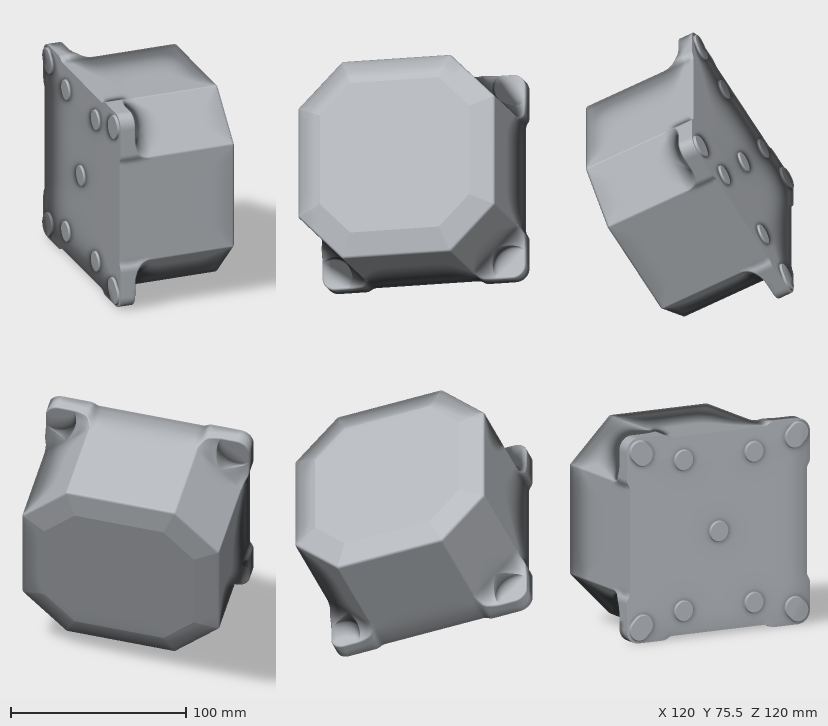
import cadquery as cq
import math


part_height = 75.5
foot_height = 1.5
body_side = 115.9
body_corner_cut = 26.0
crown_inset = 13.9
crown_angle = 15.0
body_edge_radius = 1.5

plate_side = 120.0
ear_thickness = 9.2
ear_corner_radius = 7.8
ear_start = 30.0
ear_full_width_start = 36.2
ear_root_radius = 10.1
ear_rim_radius = 1.0
clearance_radius = 12.0
clearance_floor_radius = 1.0

foot_diameter = 12.0
foot_offset_x = 23.0
foot_offset_z = 44.0
corner_foot_width = 12.8
corner_foot_length = 15.8
corner_foot_offset = 50.9
foot_edge_radius = 0.5

EAR_COUNT = 4
EAR_SPACING = 360 / EAR_COUNT
EAR_DIRECTION = 225
DIAGONAL = 45

half_plate = plate_side / 2
half_body = body_side / 2
half_flat = half_body - body_corner_cut
body_height = part_height - foot_height
crown_height = crown_inset * math.tan(math.radians(crown_angle))
crown_base = body_height - crown_height
corner_face_distance = (half_body + half_flat) / math.sqrt(2)
root_top = ear_thickness + ear_root_radius


def plane_facing_back(y=0.0):
    """Sketch plane with its normal along +Y; sketch right is -X and sketch up is +Z."""
    return cq.Workplane(cq.Plane((0, y, 0), xDir=(-1, 0, 0), normal=(0, 1, 0)))


def turned(shape, angle):
    """Rotate a shape about the Y axis."""
    return shape.rotate((0, 0, 0), (0, 1, 0), angle)


def swapped(point):
    """Mirror a sketch point in the diagonal of the ear."""
    return point[1], point[0]


def make_body():
    """Octagonal housing with a tapered crown and rounded outer edges."""
    octagon = plane_facing_back().rect(body_side, body_side).extrude(crown_base)
    walls = octagon.edges("|Y").chamfer(body_corner_cut)
    body = walls.faces(">Y").wires().toPending().workplane().extrude(crown_height, taper=90 - crown_angle)
    margin = 0.1
    rim = cq.selectors.BoxSelector(
        (-plate_side, crown_base - margin, -plate_side),
        (plate_side, crown_base + margin, plate_side),
        boundingbox=True,
    )
    return body.edges(rim).fillet(body_edge_radius).edges("|Y").fillet(body_edge_radius)


def ear_outline():
    """Ear outline: an S-bend out from each body side, joined by a rounded corner."""
    step = half_plate - half_body
    run = ear_full_width_start - ear_start
    bend_angle = 2 * math.atan(step / run)
    bend_radius = run / 2 / math.sin(bend_angle)
    along = bend_radius * math.sin(bend_angle / 2)
    across = bend_radius * (1 - math.cos(bend_angle / 2))

    bend_start = (ear_start, half_body)
    hollow = (ear_start + along, half_body + across)
    bend_middle = (ear_start + run / 2, half_body + step / 2)
    crest = (ear_full_width_start - along, half_plate - across)
    bend_end = (ear_full_width_start, half_plate)
    corner_start = (half_plate - ear_corner_radius, half_plate)
    corner_middle = half_plate - ear_corner_radius * (1 - math.sqrt(0.5))
    return (
        plane_facing_back()
        .moveTo(*bend_start)
        .threePointArc(hollow, bend_middle)
        .threePointArc(crest, bend_end)
        .lineTo(*corner_start)
        .threePointArc((corner_middle, corner_middle), swapped(corner_start))
        .lineTo(*swapped(bend_end))
        .threePointArc(swapped(crest), swapped(bend_middle))
        .threePointArc(swapped(hollow), swapped(bend_start))
        .lineTo(ear_start, ear_start)
        .close()
    )


def make_ear():
    """Ear at the -X +Z corner: flat top, rounded rim and concave root against the body."""
    root_sweep = (
        cq.Workplane("XY")
        .moveTo(corner_face_distance, root_top)
        .radiusArc((corner_face_distance + ear_root_radius, ear_thickness), -ear_root_radius)
        .lineTo(plate_side, ear_thickness)
        .lineTo(plate_side, root_top)
        .close()
        .extrude(half_plate, both=True)
    )
    ear = ear_outline().extrude(root_top).cut(turned(root_sweep, EAR_DIRECTION))
    return ear.edges("not (|Y or <Y or |(1,0,1))").fillet(ear_rim_radius)


def make_clearance():
    """Screw-head clearance with a rounded bottom edge, touching the cut corner face of the body."""
    cutter = (
        plane_facing_back(ear_thickness)
        .center(-corner_face_distance - clearance_radius, 0)
        .circle(clearance_radius)
        .extrude(ear_root_radius)
        .faces("<Y").edges().fillet(clearance_floor_radius)
    )
    return turned(cutter, EAR_DIRECTION)


def add_foot(body, x, z, outline):
    """Add a low pad on the mounting face, with a rounded outer rim."""
    plane = cq.Workplane(cq.Plane((x, 0, z), xDir=(1, 0, 0), normal=(0, -1, 0)))
    pad = outline(plane).extrude(foot_height)
    return body.union(pad.faces("<Y").edges().fillet(foot_edge_radius))


def round_foot(plane):
    """Outline of the round feet."""
    return plane.circle(foot_diameter / 2)


def oblong_foot(angle):
    """Outline of a corner foot, lengthened along the diagonal."""
    return lambda plane: plane.slot2D(corner_foot_length, corner_foot_width, angle)


def add_feet(body):
    """One central foot, four round feet around it and one oblong foot under each ear."""
    body = add_foot(body, 0, 0, round_foot)
    for side in (1, -1):
        for end in (1, -1):
            body = add_foot(body, side * foot_offset_x, end * foot_offset_z, round_foot)
            corner_outline = oblong_foot(DIAGONAL * side * end)
            body = add_foot(body, side * corner_foot_offset, end * corner_foot_offset, corner_outline)
    return body


def blend_feet(body):
    """Fillet the base of every foot into the mounting face."""
    between_feet = (foot_diameter, 0, 0)
    mounting_face = body.faces(cq.selectors.NearestToPointSelector(between_feet)).val()
    roots = [edge for wire in mounting_face.innerWires() for edge in wire.Edges()]
    return body.newObject([body.val().fillet(foot_edge_radius, roots)])


ear = make_ear().cut(make_clearance())
housing = make_body()
for quarter in range(EAR_COUNT):
    housing = housing.union(turned(ear, EAR_SPACING * quarter))
result = blend_feet(add_feet(housing))